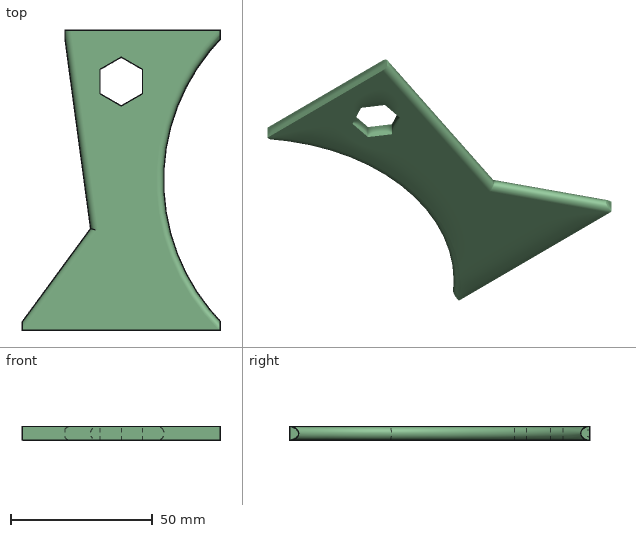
import cadquery as cq
import math

width = 70.0
length = 106.0
thickness = 5.0
edge_radius = thickness / 2
mid_height = thickness / 2

foot_inset = 0.8
waist_x = 26.7
waist_y = 35.3
head_x = 17.2
head_side_x = 15.0

arc_end_x = 69.6
arc_depth = 22.2
arc_radius = ((length / 2) ** 2 + arc_depth ** 2) / (2 * arc_depth)
arc_mid_x = arc_end_x - arc_depth
arc_center_x = arc_mid_x + arc_radius

hex_x = width / 2
hex_y = 87.9
hex_across_flats = 14.8
hex_across_corners = hex_across_flats / math.cos(math.pi / 6)

overrun = 10.6


def straight_round(inner, outer):
    """Full-round edge along a line, extended past its outer end."""
    start = cq.Vector(*inner, mid_height)
    direction = cq.Vector(*outer, mid_height) - start
    rod = cq.Solid.makeCylinder(edge_radius, direction.Length + overrun, start, direction)
    return cq.Workplane(obj=rod)


foot = (foot_inset, 0)
waist = (waist_x, waist_y)
head = (head_x, length)
core = (
    cq.Workplane()
    .moveTo(*foot)
    .lineTo(arc_end_x, 0)
    .threePointArc((arc_mid_x, length / 2), (arc_end_x, length))
    .lineTo(*head)
    .lineTo(*waist)
    .close()
    .extrude(thickness)
)

arc_round = cq.Workplane(
    obj=cq.Solid.makeTorus(
        arc_radius, edge_radius, cq.Vector(arc_center_x, length / 2, mid_height), cq.Vector(0, 0, 1)
    )
)

envelope = (
    cq.Workplane()
    .polyline([
        (0, 0),
        (width, 0),
        (width, length),
        (head_side_x, length),
        (head_side_x, waist_y),
        (0, waist_y),
    ])
    .close()
    .extrude(thickness)
)

hex_hole = (
    cq.Workplane()
    .center(hex_x, hex_y)
    .transformed(rotate=(0, 0, 90))
    .polygon(6, hex_across_corners)
    .extrude(thickness)
)

plate = core
for edge_round in (arc_round, straight_round(waist, foot), straight_round(waist, head)):
    plate = plate.union(edge_round.intersect(envelope))

result = plate.cut(hex_hole)